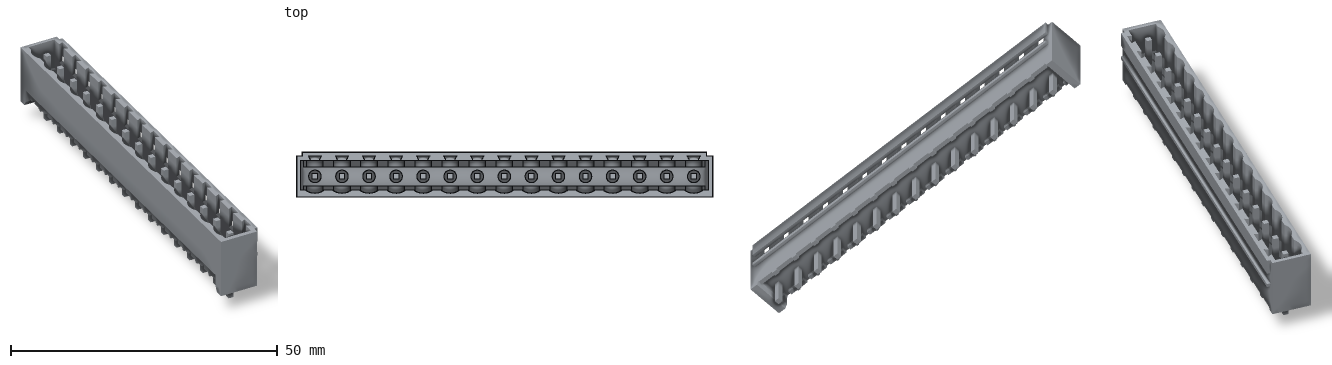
import cadquery as cq


length = 78.1
depth = 7.7
height = 12.0

pin_count = 15
pitch = 5.1
row_x = -0.1
pin_y = depth / 2
pin_size = 1.0
pin_tip_z = 11.1
pin_tail = 3.2
collar_recess_diameter = 2.35
collar_recess_depth = 0.5
pin_xs = [row_x + (i - (pin_count - 1) / 2) * pitch for i in range(pin_count)]
gap_xs = [x + pitch / 2 for x in pin_xs[:-1]]

cavity_length = 76.5
cavity_front = 1.3
cavity_back = 6.9
floor_z = 5.8

trough_length = 75.3
trough_z = 3.8
floor_strip_front = 2.1
floor_strip_back = 5.6
bump_radius = 1.6
bump_axis_z = 4.1

scallop_width = 3.6
scallop_front = 0.7

slot_mouth = 1.65
slot_root = 2.4
slot_bottom_z = 8.0

flange_length = 75.9
flange_depth = 0.7
flange_height = 3.05
rail_bottom_z = 5.85
rail_height = 0.7

underside_length = 74.0
ledge_z = 3.5
front_wall_face = 0.85
front_wall_back = 1.7
front_wall_bottom = 1.3
back_wall_front = 6.9
back_wall_bottom = 0.5
ceiling_z = 2.1
leg_bevel_width = 0.5
leg_bevel_height = 0.9

cusp_width = 1.2
cusp_step_height = 0.15
cusp_tip_width = 0.5
cusp_tip_height = 0.3
foot_width = 1.2


def block(center_x, size_x, y_range, z_range):
    """Box centred on center_x that fills the given y and z ranges."""
    return cq.Workplane("XY").box(
        size_x, y_range[1] - y_range[0], z_range[1] - z_range[0], centered=(True, False, False)
    ).translate((center_x, y_range[0], z_range[0]))


def front_outline(points, y_range):
    """Prism with an XZ outline that fills the given y range."""
    outline = cq.Workplane("XZ", origin=(0, y_range[0], 0)).polyline(points).close()
    return outline.extrude(y_range[0] - y_range[1])


def shell():
    """Plain shroud with its flange and rail."""
    back_y = (cavity_back, depth + flange_depth)
    body = block(0, length, (0, depth), (0, height))
    body = body.union(block(row_x, flange_length, back_y, (height - flange_height, height)))
    return body.union(block(row_x, flange_length, back_y, (rail_bottom_z, rail_bottom_z + rail_height)))


def scallop(x):
    """Shallow arc-shaped pocket in the inside of the front wall."""
    return (
        cq.Workplane("XY", origin=(x, 0, trough_z))
        .moveTo(-scallop_width / 2, cavity_front)
        .threePointArc((0, scallop_front), (scallop_width / 2, cavity_front))
        .lineTo(scallop_width / 2, floor_strip_front)
        .lineTo(-scallop_width / 2, floor_strip_front)
        .close()
        .extrude(height - trough_z)
    )


def dovetail_slot(x):
    """Slot in the back wall, open at the top and widening towards the flange."""
    return (
        cq.Workplane("XY", origin=(x, 0, slot_bottom_z))
        .polyline([
            (-slot_mouth / 2, cavity_back),
            (slot_mouth / 2, cavity_back),
            (slot_root / 2, depth),
            (-slot_root / 2, depth),
        ])
        .close()
        .extrude(height - slot_bottom_z)
    )


def mating_cavity():
    """Space removed from the top of the shroud, leaving the bumps in the troughs."""
    space = block(row_x, cavity_length, (cavity_front, cavity_back), (floor_z, height))
    trough_span = (trough_z, floor_z)
    space = space.union(block(row_x, trough_length, (cavity_front, floor_strip_front), trough_span))
    space = space.union(block(row_x, trough_length, (floor_strip_back, cavity_back), trough_span))
    for x in pin_xs:
        space = space.union(scallop(x))
        space = space.union(dovetail_slot(x))
    for x in pin_xs:
        bump = cq.Workplane("XZ", origin=(x, 0, bump_axis_z)).circle(bump_radius).extrude(-depth)
        bump = bump.union(block(x, 2 * bump_radius, (0, depth), (0, bump_axis_z)))
        for y_range in ((0, floor_strip_front), (floor_strip_back, depth)):
            space = space.cut(bump.intersect(block(x, pitch, y_range, (0, height))))
        recess = cq.Workplane("XY", origin=(x, pin_y, floor_z)).circle(collar_recess_diameter / 2)
        space = space.union(recess.extrude(-collar_recess_depth))
    return space


def underside():
    """Space removed from below, with a thin front wall and a lower back wall left standing."""
    size = underside_length
    space = block(row_x, size, (0, front_wall_face), (0, ledge_z))
    space = space.union(block(row_x, size, (0, front_wall_back), (0, front_wall_bottom)))
    space = space.union(block(row_x, size, (front_wall_back, back_wall_front), (0, ceiling_z)))
    space = space.union(block(row_x, size, (0, depth), (0, back_wall_bottom)))
    for side in (-1, 1):
        leg_x = row_x + side * size / 2
        bevel = [(leg_x, 0), (leg_x + side * leg_bevel_width, 0), (leg_x, leg_bevel_height)]
        space = space.union(front_outline(bevel, (0, depth)))
    for x in pin_xs:
        space = space.union(block(x, pin_size, (0, front_wall_back), (0, ceiling_z)))
    return space


def cusp(x):
    """Stepped projection below the front wall."""
    y_range = (front_wall_face, front_wall_back)
    step_z = front_wall_bottom - cusp_step_height
    step = block(x, cusp_width, y_range, (step_z, front_wall_bottom))
    return step.union(block(x, cusp_tip_width, y_range, (step_z - cusp_tip_height, step_z)))


def foot(x):
    """Standoff below the back wall, reaching down to the bottom of the end legs."""
    return block(x, foot_width, (back_wall_front, depth), (0, back_wall_bottom))


def pin(x):
    """Square pin running through the floor."""
    y_range = (pin_y - pin_size / 2, pin_y + pin_size / 2)
    return block(x, pin_size, y_range, (-pin_tail, pin_tip_z))


result = shell().cut(mating_cavity()).cut(underside())
for gap_x in gap_xs:
    result = result.union(cusp(gap_x))
    result = result.union(foot(gap_x))
for pin_x in pin_xs:
    result = result.union(pin(pin_x))